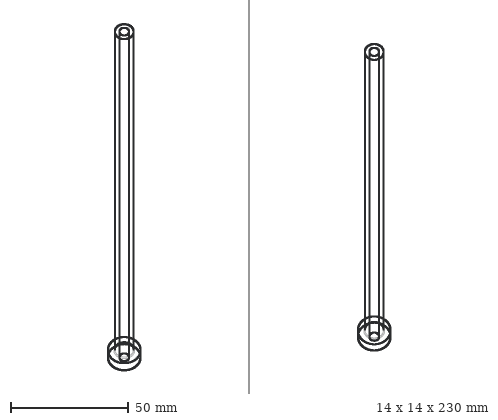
import cadquery as cq

total_length = 230.0
head_diameter = 14.0
head_height = 5.0
tube_diameter = 8.0
bore_diameter = 4.1
root_fillet_radius = 0.5


def cylinder(diameter, height):
    """Solid cylinder standing on the base plane, centred on Z."""
    return cq.Workplane("XY").circle(diameter / 2).extrude(height)


body = cylinder(head_diameter, head_height).union(cylinder(tube_diameter, total_length))

head_top = body.faces(cq.selectors.NearestToPointSelector((0, 0, head_height)))
root_corner = head_top.edges(cq.selectors.RadiusNthSelector(0))
body = root_corner.fillet(root_fillet_radius)

result = body.cut(cylinder(bore_diameter, total_length))